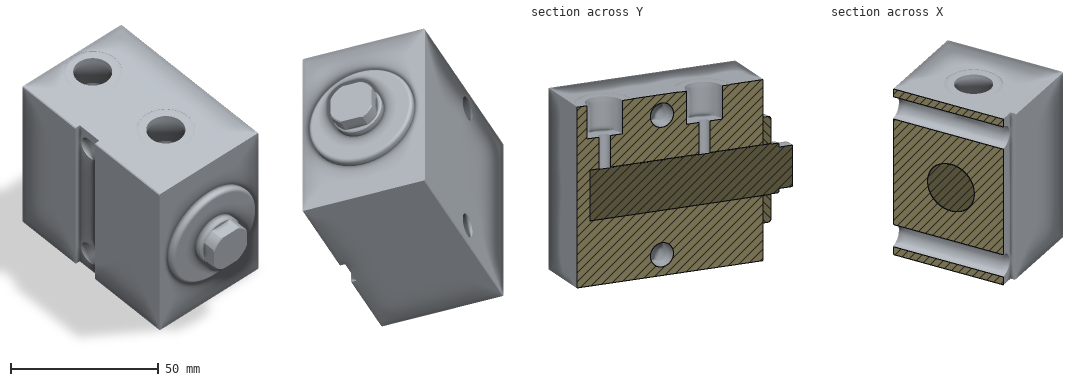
import cadquery as cq

total_length = 81.0
housing_length = 70.0
housing_width = 45.0
housing_height = 65.0
housing_chamfer = 0.3

slot_width = 10.0
slot_depth = 2.0
slot_center_x = 32.0
mount_hole_diameter = 8.5
mount_hole_spacing = 50.0

port_positions_x = (10.5, 47.95)
spotface_diameter = 19.9
spotface_depth = 0.1
port_diameter = 13.3
port_depth = 12.0
oil_hole_diameter = 4.0
rod_axis_z = 0.0

gland_diameter = 38.1
gland_thickness = 3.0
gland_fillet = 1.2

rod_diameter = 18.0
rod_start_x = 5.0
rod_shoulder_x = 76.0
rod_chamfer = 0.4
tip_diameter = 17.0
tip_across_flats = 15.0
tip_chamfer = 0.4


def x_cylinder(diameter, start_x, end_x):
    """Cylinder on the rod axis between two X positions."""
    return (
        cq.Workplane("YZ", origin=(start_x, 0, 0))
        .circle(diameter / 2)
        .extrude(end_x - start_x)
    )


def drill_down(body, center_x, diameter, bottom_z):
    """Drill a vertical hole from the top face down to bottom_z."""
    cutter = (
        cq.Workplane("XY", origin=(center_x, 0, bottom_z))
        .circle(diameter / 2)
        .extrude(housing_height / 2 - bottom_z)
    )
    return body.cut(cutter)


def make_housing():
    """Block with slot, mounting holes, oil ports and the rod bore."""
    housing = (
        cq.Workplane("XY")
        .box(housing_length, housing_width, housing_height, centered=(False, True, True))
        .edges("|X")
        .chamfer(housing_chamfer)
    )

    slot = cq.Workplane("XY").box(slot_width, 2 * slot_depth, housing_height)
    housing = housing.cut(slot.translate((slot_center_x, -housing_width / 2, 0)))

    mount_holes = (
        cq.Workplane("XZ")
        .pushPoints([(slot_center_x, side * mount_hole_spacing / 2) for side in (-1, 1)])
        .circle(mount_hole_diameter / 2)
        .extrude(housing_width / 2, both=True)
    )
    housing = housing.cut(mount_holes)

    top_z = housing_height / 2
    for center_x in port_positions_x:
        housing = drill_down(housing, center_x, spotface_diameter, top_z - spotface_depth)
        housing = drill_down(housing, center_x, port_diameter, top_z - port_depth)
        housing = drill_down(housing, center_x, oil_hole_diameter, rod_axis_z)

    return housing.cut(x_cylinder(rod_diameter, rod_start_x, housing_length))


def make_gland():
    """Ring around the rod with a rounded outer front edge."""
    gland_end_x = housing_length + gland_thickness
    disc = x_cylinder(gland_diameter, housing_length, gland_end_x)
    disc = disc.faces(">X").edges().fillet(gland_fillet)
    return disc.cut(x_cylinder(rod_diameter, housing_length, gland_end_x))


def make_piston_rod():
    """Stepped rod, turned about the X axis, with four flats on its tip."""
    rod_radius = rod_diameter / 2
    tip_radius = tip_diameter / 2
    rod = (
        cq.Workplane("XY")
        .moveTo(rod_start_x, 0)
        .lineTo(rod_start_x, rod_radius)
        .lineTo(rod_shoulder_x - rod_chamfer, rod_radius)
        .lineTo(rod_shoulder_x, rod_radius - rod_chamfer)
        .lineTo(rod_shoulder_x, tip_radius)
        .lineTo(total_length - tip_chamfer, tip_radius)
        .lineTo(total_length, tip_radius - tip_chamfer)
        .lineTo(total_length, 0)
        .close()
        .revolve(360, (0, 0, 0), (1, 0, 0))
    )
    tip_zone = x_cylinder(2 * rod_diameter, rod_shoulder_x, total_length)
    square = (
        cq.Workplane("YZ", origin=(rod_shoulder_x, 0, 0))
        .rect(tip_across_flats, tip_across_flats)
        .extrude(total_length - rod_shoulder_x)
    )
    return rod.cut(tip_zone.cut(square))


housing = make_housing()
gland = make_gland()
piston_rod = make_piston_rod()

result = cq.Compound.makeCompound([housing.val(), gland.val(), piston_rod.val()])